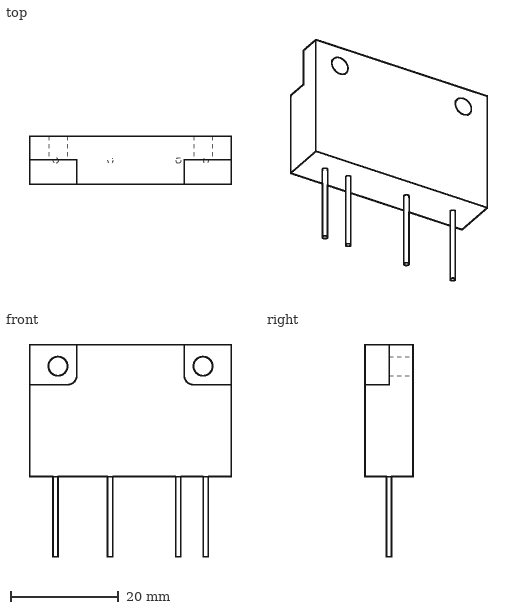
import cadquery as cq

body_width = 37.5
body_depth = 9.0
total_height = 39.5
pin_length = 14.95
body_height = total_height - pin_length

notch_width = 8.75
notch_height = 7.45
notch_depth = 4.55
notch_radius = 1.75

hole_diameter = 3.5
hole_from_side = 5.25
hole_from_top = 4.03

pin_diameter = 1.0
pin_positions = [-13.95, -3.8, 8.9, 14.0]


def make_notch(side):
    """Corner notch with a rounded inner edge; side is -1 (left) or 1 (right)."""
    return (
        cq.Workplane("XY")
        .box(notch_width, notch_depth, notch_height)
        .edges("|Y and <Z")
        .edges("<X" if side > 0 else ">X")
        .fillet(notch_radius)
        .translate((
            side * (body_width - notch_width) / 2,
            (notch_depth - body_depth) / 2,
            body_height - notch_height / 2,
        ))
    )


def make_hole(side):
    """Cylinder running along Y through the full depth of the block."""
    return (
        cq.Workplane("XZ")
        .center(side * (body_width / 2 - hole_from_side), body_height - hole_from_top)
        .circle(hole_diameter / 2)
        .extrude(body_depth / 2, both=True)
    )


result = cq.Workplane("XY").box(body_width, body_depth, body_height, centered=(True, True, False))

for side in (-1, 1):
    result = result.cut(make_notch(side)).cut(make_hole(side))

pins = (
    cq.Workplane("XY")
    .pushPoints([(x, 0) for x in pin_positions])
    .circle(pin_diameter / 2)
    .extrude(-pin_length)
)
result = result.union(pins)